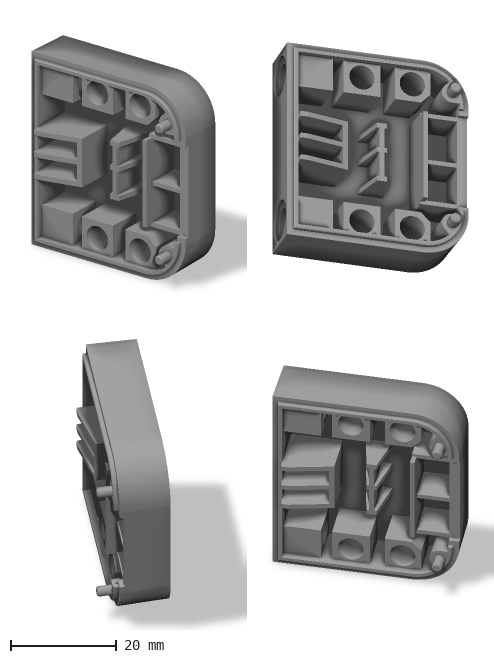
import cadquery as cq
import math

WIDTH = 36.0
HEIGHT = 40.0
CORNER_R = 9.0
DRAFT_ANGLE = 1.0
BODY_DEPTH = 9.8
FLOOR = 1.85
WALL = 2.0
LIP_INSET = 1.15
LIP_FRONT = 10.7
LIP_CHAMFER = 0.15
INNER_FRONT = 9.3

HOLE_D = 5.0
HOLE_Z = 15.0
BLOCK_INNER_Z = 11.45
SIDE_HOLE_DEPTH = 5.0
COUNTERBORE_D = 8.0
COUNTERBORE_DEPTH = 0.6
SIDE_BLOCK_END = -8.75
MIDDLE_BLOCK = (-6.65, 0.7)
CORNER_BLOCK = (3.55, 10.6)
BLOCK_CUT = 1.9
FRONT_HOLES_X = (-3.0, 7.0)

PIN_X = 14.45
PIN_Z = 13.6
PIN_D = 2.0
PIN_FRONT = 13.6
PIN_CHAMFER = 0.3
BOSS_R = 2.0

RIB = 1.0
COMB_PITCH = 4.5
COMB_END = -6.05
COMB_FRONT = 12.0
COMB_LOW_FRONT = 10.0
COMB_FLAT = 1.45
COMB_CHAMFER = 0.15

CENTER_X = 1.0
CENTER_PLATES_Z = (-5.5, 0.5, 5.5)
CENTER_TIP_HALF = 1.0
CENTER_BASE_HALF = 2.55

BOX_X = 8.7
BOX_HALF = 9.5
BOX_WALL = 0.9
BOX_FRONT = 8.85
BOX_DIVIDER_Z = -0.5
STRIP_HALF = 8.95
STRIP_FRONT = 10.85
LIP_END_Z = 10.5

CAVITY_LEFT = -WIDTH / 2 + WALL
CAVITY_RIGHT = WIDTH / 2 - WALL
CAVITY_TOP = HEIGHT / 2 - WALL


def at_depth(depth):
    return cq.Workplane("XZ", origin=(0, -depth, 0))


def rim_outline(depth, inset):
    """The D-shaped outline of the housing, moved inward by inset."""
    left = -WIDTH / 2 + inset
    right = WIDTH / 2 - inset
    top = HEIGHT / 2 - inset
    center_x = WIDTH / 2 - CORNER_R
    center_z = HEIGHT / 2 - CORNER_R
    radius = CORNER_R - inset
    mid_x = center_x + radius * math.sqrt(0.5)
    mid_z = center_z + radius * math.sqrt(0.5)
    return (
        at_depth(depth)
        .moveTo(left, -top)
        .lineTo(center_x, -top)
        .threePointArc((mid_x, -mid_z), (right, -center_z))
        .lineTo(right, center_z)
        .threePointArc((mid_x, mid_z), (center_x, top))
        .lineTo(left, top)
        .close()
    )


def block(x_range, z_range, depth_range):
    """A rectangular block between the given X, Z and depth limits."""
    (x0, x1), (z0, z1), (d0, d1) = x_range, z_range, depth_range
    return cq.Workplane("XY").box(x1 - x0, d1 - d0, z1 - z0, centered=False).translate((x0, -d1, z0))


def both_ends(shape):
    """The shape together with its mirror image about Z = 0."""
    return shape.union(shape.mirror("XY"))


def make_shell():
    body = rim_outline(BODY_DEPTH, 0).extrude(-BODY_DEPTH, taper=DRAFT_ANGLE)
    lip = rim_outline(BODY_DEPTH, LIP_INSET).extrude(LIP_FRONT - BODY_DEPTH)
    lip = lip.faces("<Y").chamfer(LIP_CHAMFER)
    lip_gap = block((CAVITY_RIGHT, WIDTH / 2), (-LIP_END_Z, LIP_END_Z), (BODY_DEPTH, LIP_FRONT))
    cavity = rim_outline(FLOOR, WALL).extrude(LIP_FRONT - FLOOR)
    return body.union(lip.cut(lip_gap)).cut(cavity)


def make_corner_blocks():
    z_range = (BLOCK_INNER_Z, CAVITY_TOP)
    depth_range = (FLOOR, INNER_FRONT)
    side = block((CAVITY_LEFT, SIDE_BLOCK_END), z_range, depth_range)
    middle = block(MIDDLE_BLOCK, z_range, depth_range)
    corner = block(CORNER_BLOCK, z_range, depth_range)
    corner = corner.edges("|Y and >X and <Z").chamfer(BLOCK_CUT)
    return both_ends(side.union(middle).union(corner))


def make_pin_bosses():
    """Posts in the round corners, each carrying a locating pin."""
    diagonal = BOSS_R * math.sqrt(0.5)
    reach = CORNER_R / 2
    fill = (
        at_depth(FLOOR)
        .moveTo(PIN_X, PIN_Z - BOSS_R)
        .threePointArc((PIN_X - BOSS_R, PIN_Z), (PIN_X - diagonal, PIN_Z + diagonal))
        .lineTo(PIN_X - diagonal + reach, PIN_Z + diagonal + reach)
        .lineTo(PIN_X + reach, PIN_Z - BOSS_R)
        .close()
        .extrude(LIP_FRONT - FLOOR)
    )
    boss = fill.intersect(rim_outline(FLOOR, WALL).extrude(LIP_FRONT - FLOOR))
    pin = at_depth(LIP_FRONT).center(PIN_X, PIN_Z).circle(PIN_D / 2).extrude(PIN_FRONT - LIP_FRONT)
    return both_ends(boss.union(pin.faces("<Y").chamfer(PIN_CHAMFER)))


def make_comb():
    """Three sloping teeth on the -X wall, joined by a spine."""
    comb = (
        cq.Workplane("XY", origin=(0, 0, -COMB_PITCH - RIB / 2))
        .moveTo(CAVITY_LEFT, -FLOOR)
        .lineTo(CAVITY_LEFT, -COMB_FRONT + COMB_CHAMFER)
        .lineTo(CAVITY_LEFT + COMB_CHAMFER, -COMB_FRONT)
        .lineTo(CAVITY_LEFT + COMB_FLAT, -COMB_FRONT)
        .lineTo(COMB_END, -COMB_LOW_FRONT)
        .lineTo(COMB_END, -FLOOR)
        .close()
        .extrude(2 * COMB_PITCH + RIB)
    )
    for z in (-COMB_PITCH / 2, COMB_PITCH / 2):
        half_gap = (COMB_PITCH - RIB) / 2
        gap = block((CAVITY_LEFT, COMB_END - RIB), (z - half_gap, z + half_gap), (FLOOR, COMB_FRONT))
        comb = comb.cut(gap)
    return comb


def make_center_rib():
    """An upright web crossed by three plates that taper toward the front."""
    half_height = CENTER_PLATES_Z[-1] + RIB / 2
    web_x = (CENTER_X - RIB / 2, CENTER_X + RIB / 2)
    rib = block(web_x, (-half_height, half_height), (FLOOR, INNER_FRONT))
    for z in CENTER_PLATES_Z:
        plate = (
            cq.Workplane("XY", origin=(CENTER_X, 0, z - RIB / 2))
            .moveTo(-CENTER_BASE_HALF, -FLOOR)
            .lineTo(-CENTER_TIP_HALF, -INNER_FRONT)
            .lineTo(CENTER_TIP_HALF, -INNER_FRONT)
            .lineTo(CENTER_BASE_HALF, -FLOOR)
            .close()
            .extrude(RIB)
        )
        rib = rib.union(plate)
    return rib


def make_box():
    """The two-pocket box against the +X wall, with a raised strip on its inner side."""
    box = block((BOX_X, CAVITY_RIGHT), (-BOX_HALF, BOX_HALF), (FLOOR, BOX_FRONT))
    strip = block((BOX_X, BOX_X + BOX_WALL), (-STRIP_HALF, STRIP_HALF), (FLOOR, STRIP_FRONT))
    pocket_x = (BOX_X + BOX_WALL, CAVITY_RIGHT)
    inner_half = BOX_HALF - BOX_WALL
    lower = block(pocket_x, (-inner_half, BOX_DIVIDER_Z - BOX_WALL / 2), (FLOOR, BOX_FRONT))
    upper = block(pocket_x, (BOX_DIVIDER_Z + BOX_WALL / 2, inner_half), (FLOOR, BOX_FRONT))
    return box.union(strip).cut(lower).cut(upper)


def make_holes():
    """Through holes of the blocks, and the counterbored holes from the -X side."""
    outside = -WIDTH / 2
    side_plane = cq.Workplane("YZ", origin=(outside, -SIDE_HOLE_DEPTH, HOLE_Z))
    holes = side_plane.circle(HOLE_D / 2).extrude(SIDE_BLOCK_END - outside)
    holes = holes.union(side_plane.circle(COUNTERBORE_D / 2).extrude(COUNTERBORE_DEPTH))
    for x in FRONT_HOLES_X:
        holes = holes.union(at_depth(0).center(x, HOLE_Z).circle(HOLE_D / 2).extrude(INNER_FRONT))
    return both_ends(holes)


wall_notch = block((CAVITY_RIGHT, WIDTH / 2), (-BOX_HALF, BOX_HALF), (BOX_FRONT, BODY_DEPTH))

result = make_shell().cut(wall_notch)
for feature in (make_corner_blocks(), make_pin_bosses(), make_comb(), make_center_rib(), make_box()):
    result = result.union(feature)
result = result.cut(make_holes())